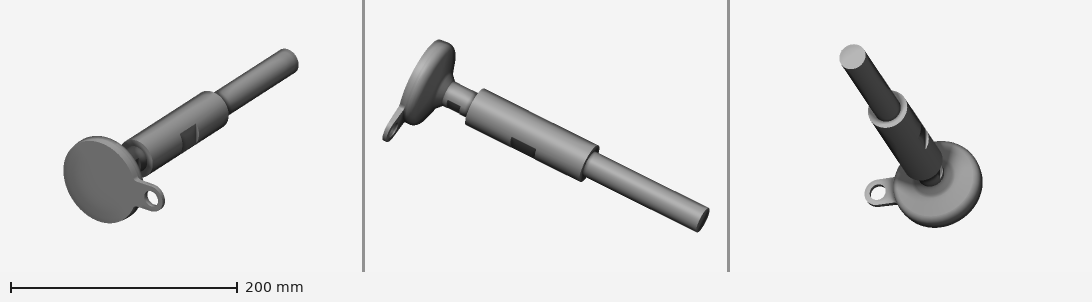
import cadquery as cq
import math

TOTAL_LENGTH = 286.5

ROD_RADIUS = 12.0
SLEEVE_RADIUS = 18.0
SLEEVE_START = 55.5
SLEEVE_LENGTH = 115.7
SLEEVE_FLAT_LENGTH = 25.2
SLEEVE_ACROSS_FLATS = 30.0
NECK_FLAT_START = 33.0
NECK_FLAT_LENGTH = 13.2
NECK_ACROSS_FLATS = 19.0

FOOT_DIAMETER = 80.0
FOOT_RADIUS = FOOT_DIAMETER / 2
SOLE_RADIUS = 39.3
FOOT_HEIGHT = 28.6
RIM_START = 6.0
RIM_END = 8.5
SHOULDER_RADIUS = 7.7
NECK_BLEND_RADIUS = 7.5
FLARE_ANGLE = math.radians(45)
ROOF_ANGLE = math.radians(21.5)

OVERALL_WIDTH = 108.0
LUG_REACH = OVERALL_WIDTH - FOOT_RADIUS
LUG_RADIUS = 12.3
LUG_CENTER = LUG_REACH - LUG_RADIUS
LUG_HOLE_RADIUS = 7.5
LUG_ROOT_HEIGHT = 5.5
LUG_TIP_HEIGHT = 3.7
LUG_ROOT_FILLET = 4.3


def cylinder(radius, start, length):
    """Cylinder on the Y axis, running from start toward +Y."""
    return cq.Workplane(cq.Solid.makeCylinder(radius, length, cq.Vector(0, start, 0), cq.Vector(0, 1, 0)))


def cut_flats(body, radius, start, length, across_flats):
    """Cut a pair of wrench flats facing -X and +X."""
    depth = radius - across_flats / 2
    for side in (-1, 1):
        cutter = cq.Workplane().box(depth, length, 2 * radius)
        middle = side * (across_flats + depth) / 2
        body = body.cut(cutter.translate((middle, start + length / 2, 0)))
    return body


def make_spindle():
    """Rod with a thicker sleeve, both with wrench flats, standing on the foot."""
    rod = cylinder(ROD_RADIUS, FOOT_HEIGHT, TOTAL_LENGTH - FOOT_HEIGHT)
    rod = cut_flats(rod, ROD_RADIUS, NECK_FLAT_START, NECK_FLAT_LENGTH, NECK_ACROSS_FLATS)
    sleeve = cylinder(SLEEVE_RADIUS, SLEEVE_START, SLEEVE_LENGTH)
    flat_start = SLEEVE_START + (SLEEVE_LENGTH - SLEEVE_FLAT_LENGTH) / 2
    sleeve = cut_flats(sleeve, SLEEVE_RADIUS, flat_start, SLEEVE_FLAT_LENGTH, SLEEVE_ACROSS_FLATS)
    return rod.union(sleeve)


def make_foot_disc():
    """Revolved foot: tapered base, short rim, rounded shoulder, sloping roof and 45 degree flare."""
    def shoulder_point(angle):
        return (
            FOOT_RADIUS - SHOULDER_RADIUS * (1 - math.sin(angle)),
            RIM_END + SHOULDER_RADIUS * math.cos(angle),
        )

    roof_x, roof_y = shoulder_point(ROOF_ANGLE)
    shoulder_middle = shoulder_point((ROOF_ANGLE + math.pi / 2) / 2)

    roof_slope = math.tan(ROOF_ANGLE)
    flare_slope = math.tan(FLARE_ANGLE)
    corner_x = (
        (FOOT_HEIGHT + flare_slope * ROD_RADIUS - roof_y - roof_slope * roof_x)
        / (flare_slope - roof_slope)
    )
    corner_y = FOOT_HEIGHT - flare_slope * (corner_x - ROD_RADIUS)

    tangent = NECK_BLEND_RADIUS * math.tan((FLARE_ANGLE - ROOF_ANGLE) / 2)
    blend_top = (corner_x - tangent * math.cos(FLARE_ANGLE), corner_y + tangent * math.sin(FLARE_ANGLE))
    blend_end = (corner_x + tangent * math.cos(ROOF_ANGLE), corner_y - tangent * math.sin(ROOF_ANGLE))

    profile = (
        cq.Workplane("XY")
        .lineTo(SOLE_RADIUS, 0)
        .lineTo(FOOT_RADIUS, RIM_START)
        .lineTo(FOOT_RADIUS, RIM_END)
        .threePointArc(shoulder_middle, (roof_x, roof_y))
        .lineTo(*blend_end)
        .tangentArcPoint(blend_top, relative=False)
        .lineTo(ROD_RADIUS, FOOT_HEIGHT)
        .lineTo(0, FOOT_HEIGHT)
        .close()
    )
    return profile.revolve(360, (0, 0, 0), (0, 1, 0))


def make_lug():
    """Round-ended lug toward +X whose upper face slopes down to the tip."""
    slope = (LUG_ROOT_HEIGHT - LUG_TIP_HEIGHT) / (LUG_REACH - SOLE_RADIUS)
    axis_height = LUG_ROOT_HEIGHT + slope * SOLE_RADIUS
    wedge = (
        cq.Workplane("XY")
        .polyline([(0, 0), (LUG_REACH, 0), (LUG_REACH, LUG_TIP_HEIGHT), (0, axis_height)])
        .close()
        .extrude(LUG_RADIUS, both=True)
    )
    straight = cq.Workplane().box(LUG_CENTER, axis_height, 2 * LUG_RADIUS)
    straight = straight.translate((LUG_CENTER / 2, axis_height / 2, 0))
    round_end = cylinder(LUG_RADIUS, 0, axis_height).translate((LUG_CENTER, 0, 0))
    return wedge.intersect(straight.union(round_end))


def make_foot():
    """Foot disc with a filleted lug and its through hole."""
    foot = make_foot_disc().union(make_lug())
    root_x = math.sqrt(SOLE_RADIUS**2 - LUG_RADIUS**2)
    for side in (-1, 1):
        root = (root_x, LUG_ROOT_HEIGHT / 2, side * LUG_RADIUS)
        foot = foot.edges(cq.selectors.NearestToPointSelector(root)).fillet(LUG_ROOT_FILLET)
    hole = cylinder(LUG_HOLE_RADIUS, 0, LUG_ROOT_HEIGHT).translate((LUG_CENTER, 0, 0))
    return foot.cut(hole)


spindle = make_spindle()
foot = make_foot()
result = cq.Compound.makeCompound([spindle.val(), foot.val()])